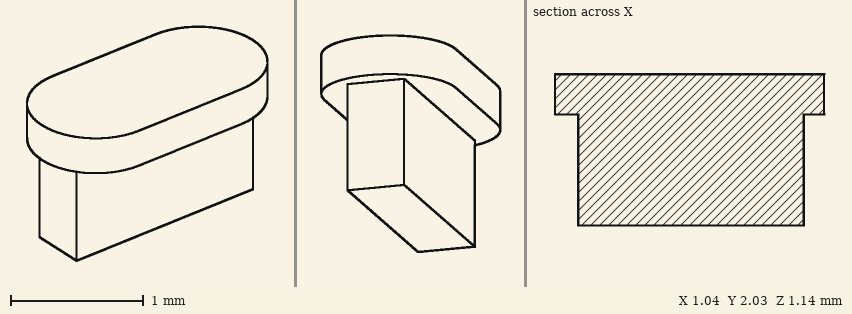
import cadquery as cq

head_width = 1.04
head_length = 2.03
total_height = 1.14
head_thickness = 0.305

stem_width = 0.45
stem_length = 1.70
stem_offset_y = -0.01
stem_height = total_height - head_thickness


def make_head():
    """Flat plate with full-round ends, long side along Y."""
    return (
        cq.Workplane("XY")
        .workplane(offset=stem_height)
        .slot2D(head_length, head_width, angle=90)
        .extrude(head_thickness)
    )


def make_stem():
    """Rectangular block standing on Z = 0 and reaching the underside of the head."""
    return (
        cq.Workplane("XY")
        .center(0, stem_offset_y)
        .rect(stem_width, stem_length)
        .extrude(stem_height)
    )


result = make_head().union(make_stem())